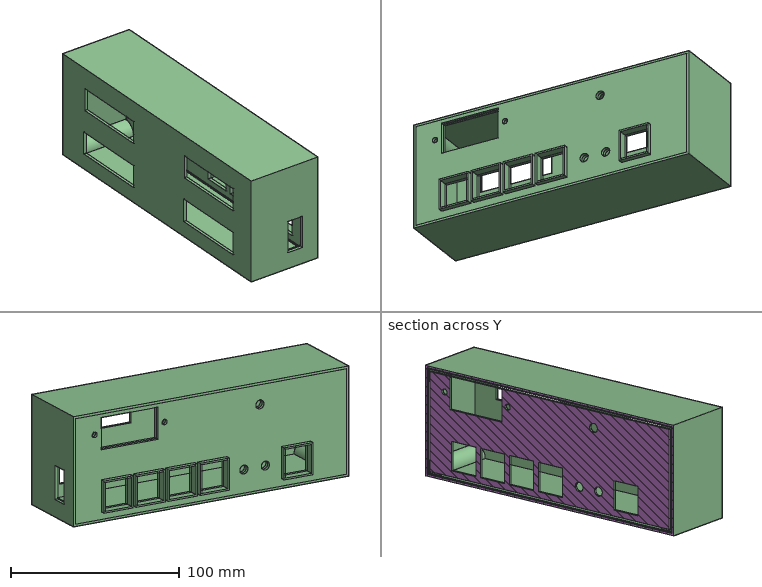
import cadquery as cq

LENGTH = 189.3
DEPTH = 49.0
HEIGHT = 69.0
WALL = 2.0
FRONT_WALL = 1.9
SEAT_LENGTH = 3.6
SEAT_STEP = 0.5

WINDOW_RIGHT_EDGES = {"left": 71.4, "right": 171.1}
UPPER_WINDOW_WIDTH = 49.0
UPPER_WINDOW_BOTTOM = 40.3
LOWER_WINDOW_BOTTOM = 10.2
WINDOW_HEIGHT = 15.0
LOWER_LEFT_WINDOW_WIDTH = 50.2
LOWER_RIGHT_WINDOW_WIDTH = 49.6
LOWER_RIGHT_WINDOW_HEIGHT = 15.3

POST_RADIUS = 8.0

SIDE_OPENING_START = 27.0
SIDE_OPENING_WIDTH = 10.6
SIDE_OPENING_BOTTOM = 11.0
SIDE_OPENING_HEIGHT = 21.2

PLATE_THICKNESS = 2.0
BACK_PLATE_FRONT = DEPTH - PLATE_THICKNESS
INNER_PLATE_FRONT = BACK_PLATE_FRONT - PLATE_THICKNESS
INNER_PLATE_GAP = 1.1

SOCKET_SIZE = 20.0
SOCKET_OPENING = 18.0
SOCKET_FRAME_HEIGHT = 3.0
SOCKET_CENTRE_Z = 16.3
SINGLE_SOCKET_X = 36.3
SOCKET_ROW_START = 93.9
SOCKET_PITCH = 22.05
SOCKET_ROW_COUNT = 4
SOCKET_XS = [SINGLE_SOCKET_X] + [SOCKET_ROW_START + i * SOCKET_PITCH for i in range(SOCKET_ROW_COUNT)]

INLET_X = 150.7
INLET_Z = 55.0
INLET_WIDTH = 39.0
INLET_HEIGHT = 20.0
INLET_SCREW_SPACING = 48.0
INLET_SCREW_DIAMETER = 3.5

CABLE_HOLE_DIAMETER = 5.5
CABLE_HOLES = [(57.4, SOCKET_CENTRE_Z), (72.1, SOCKET_CENTRE_Z), (61.2, INLET_Z)]


def block(x0, x1, y0, y1, z0, z1):
    """Box between the given limits."""
    return cq.Workplane("XY", origin=(x0, y0, z0)).box(x1 - x0, y1 - y0, z1 - z0, centered=False)


def inset_block(inset, y0, y1):
    """Box that stays `inset` inside the housing outline in X and Z."""
    return block(inset, LENGTH - inset, y0, y1, inset, HEIGHT - inset)


def bar(x, z, width, height, y0, y1):
    """Rectangular bar along Y, centred on (x, z)."""
    return block(x - width / 2, x + width / 2, y0, y1, z - height / 2, z + height / 2)


def rod(x, z, diameter, y0, y1):
    """Round bar along Y, centred on (x, z)."""
    return cq.Workplane("XZ", origin=(x, y0, z)).circle(diameter / 2).extrude(y0 - y1)


def window(side, width, bottom, height):
    """Cutter for a window whose right edge is shared with the other window on its side."""
    right = WINDOW_RIGHT_EDGES[side]
    return block(right - width, right, 0, FRONT_WALL, bottom, bottom + height)


def make_housing():
    housing = inset_block(0, 0, DEPTH)
    cavity = inset_block(WALL, FRONT_WALL, DEPTH)
    seat = inset_block(WALL - SEAT_STEP, DEPTH - SEAT_LENGTH, DEPTH)
    housing = housing.cut(cavity).cut(seat)

    for side in WINDOW_RIGHT_EDGES:
        housing = housing.cut(window(side, UPPER_WINDOW_WIDTH, UPPER_WINDOW_BOTTOM, WINDOW_HEIGHT))
    housing = housing.cut(window("left", LOWER_LEFT_WINDOW_WIDTH, LOWER_WINDOW_BOTTOM, WINDOW_HEIGHT))
    housing = housing.cut(
        window("right", LOWER_RIGHT_WINDOW_WIDTH, LOWER_WINDOW_BOTTOM, LOWER_RIGHT_WINDOW_HEIGHT)
    )

    for x in (WALL, LENGTH - WALL):
        for z in (WALL, HEIGHT - WALL):
            post = rod(x, z, 2 * POST_RADIUS, FRONT_WALL, INNER_PLATE_FRONT).intersect(cavity)
            housing = housing.union(post)

    side_opening = block(
        LENGTH - WALL,
        LENGTH,
        SIDE_OPENING_START,
        SIDE_OPENING_START + SIDE_OPENING_WIDTH,
        SIDE_OPENING_BOTTOM,
        SIDE_OPENING_BOTTOM + SIDE_OPENING_HEIGHT,
    )
    return housing.cut(side_opening)


def cut_connectors(plate, y0, y1):
    """Cut the socket, inlet, screw and cable openings through a plate between y0 and y1."""
    for x in SOCKET_XS:
        plate = plate.cut(bar(x, SOCKET_CENTRE_Z, SOCKET_OPENING, SOCKET_OPENING, y0, y1))
    plate = plate.cut(bar(INLET_X, INLET_Z, INLET_WIDTH, INLET_HEIGHT, y0, y1))
    for offset in (-INLET_SCREW_SPACING / 2, INLET_SCREW_SPACING / 2):
        plate = plate.cut(rod(INLET_X + offset, INLET_Z, INLET_SCREW_DIAMETER, y0, y1))
    for x, z in CABLE_HOLES:
        plate = plate.cut(rod(x, z, CABLE_HOLE_DIAMETER, y0, y1))
    return plate


def make_inner_plate():
    plate = inset_block(WALL + INNER_PLATE_GAP, INNER_PLATE_FRONT, BACK_PLATE_FRONT)
    return cut_connectors(plate, INNER_PLATE_FRONT, BACK_PLATE_FRONT)


def make_back_plate():
    frame_back = DEPTH + SOCKET_FRAME_HEIGHT
    plate = inset_block(WALL - SEAT_STEP, BACK_PLATE_FRONT, DEPTH)
    for x in SOCKET_XS:
        plate = plate.union(bar(x, SOCKET_CENTRE_Z, SOCKET_SIZE, SOCKET_SIZE, DEPTH, frame_back))
    return cut_connectors(plate, BACK_PLATE_FRONT, frame_back)


housing = make_housing()
inner_plate = make_inner_plate()
back_plate = make_back_plate()

result = cq.Compound.makeCompound([housing.val(), inner_plate.val(), back_plate.val()])